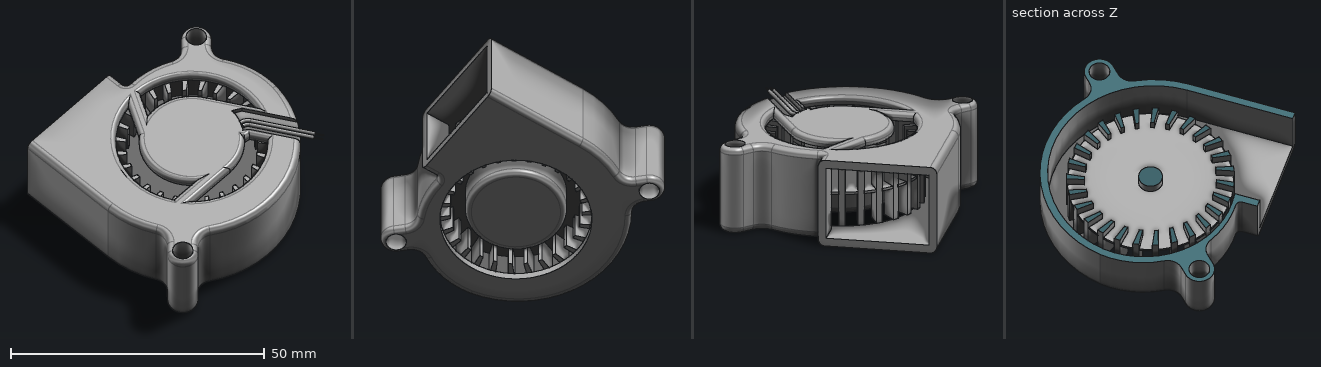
import cadquery as cq
import math


height = 17.99
wall = 1.68
edge_fillet = 1.35

outlet_x = -22.3
duct_bottom_y = -23.6
duct_top_y = 0.25
duct_wall = 1.6
scroll_start_x = -0.3
scroll_radius = 22.49
throat_radius = 19.05
cavity_throat_radius = 18.05
scroll_joint_angle = 80.3
tongue_x = -18.1
tongue_fillet = 0.95
cavity_tongue_x = -17.0

lug_centers = [(-16.15, 18.17), (17.52, -20.9)]
lug_angles = [-45.0, 135.0]
lug_radius = 3.05
lug_hole_radius = 2.0
lug_length = 8.0
lug_root = 4.3
lug_fillet = 3.0

inlet_radius = 15.0
inlet_fillet = 1.0
hub_radius = 10.4
spoke_width = 2.95
spokes = [(150.0, 8.2), (270.0, 8.97)]
motor_boss_radius = 4.7
motor_boss_bottom = 11.0

wire_angle = 30.0
bridge_near = 3.4
bridge_far = hub_radius
gusset_outline = [(10.9, bridge_near), (10.15, 2.5), (6.0, 2.5), (6.0, bridge_near)]
slot_near = 4.6
slot_far = 9.2
slot_floor = 17.0
slot_end = 30.0
slot_outline = [
    (slot_end, slot_near),
    (10.5, slot_near),
    (8.4, 3.6),
    (4.3, 7.05),
    (7.9, slot_far),
    (slot_end, slot_far),
]
slot_hub_radius = 10.25

blade_count = 27
blade_inner_radius = 13.0
blade_outer_radius = 16.6
blade_inner_width = 0.75
blade_outer_width = 1.3
blade_lean = -1.8
first_blade_angle = 86.7
blade_bottom = 2.25
blade_top = 15.8
web_thickness = 0.5
web_top = 9.25
web_radius = 16.4
rotor_hub_radius = 10.0
rotor_hub_bottom = 2.4
rotor_hub_fillet = 1.2
shaft_boss_radius = 2.4

wire_radius = 0.41
wire_z = slot_floor + wire_radius
wire_offsets = [7.05, 6.12]
wire_bend_start = 10.25
wire_end = 23.35
wire_bend_center_offset = 4.65
wire_bend_angle = 60.0
conductor_radius = 0.14
conductor_end = 25.1

reach = 40.0
margin = 0.1
corner_search = 1.0


def polar(radius, angle):
    return (radius * math.cos(math.radians(angle)), radius * math.sin(math.radians(angle)))


def along(angle, distance, offset):
    """Point `distance` along a direction and `offset` to its left."""
    ux, uy = polar(1.0, angle)
    return (distance * ux - offset * uy, distance * uy + offset * ux)


def prism(points, bottom, top):
    return cq.Workplane("XY").workplane(offset=bottom).polyline(points).close().extrude(top - bottom)


def wire_prism(outline, bottom, top):
    """Prism from points laid out along and across the wire direction."""
    return prism([along(wire_angle, distance, offset) for distance, offset in outline], bottom, top)


def cylinder(radius, bottom, top):
    return cq.Workplane("XY").workplane(offset=bottom).circle(radius).extrude(top - bottom)


def strip(angle, near, far, bottom, top, length=reach):
    """Straight bar running outwards between two distances left of the fan axis."""
    points = [
        along(angle, 0, near),
        along(angle, length, near),
        along(angle, length, far),
        along(angle, 0, far),
    ]
    return prism(points, bottom, top)


def scroll(radius, end_radius, start_y, end, bottom, top):
    """Duct and scroll: a big arc from the straight duct wall, then a tighter arc to `end`."""
    center_y = duct_bottom_y + scroll_radius
    joint_x, joint_y = polar(radius, scroll_joint_angle)
    return (
        cq.Workplane("XY")
        .workplane(offset=bottom)
        .moveTo(outlet_x, start_y)
        .lineTo(scroll_start_x, start_y)
        .threePointArc((scroll_start_x + radius, center_y), (scroll_start_x + joint_x, center_y + joint_y))
        .radiusArc(end, -end_radius)
        .lineTo(outlet_x, end[1])
        .close()
        .extrude(top - bottom)
    )


def edges_near(x, y, size):
    return cq.selectors.BoxSelector((x - size, y - size, 0), (x + size, y + size, height))


def housing_outside():
    """Solid outer form: duct, scroll and lugs, with blended corners and rounded edges."""
    body = scroll(scroll_radius, throat_radius, duct_bottom_y, (tongue_x, duct_top_y), 0, height)
    for (x, y), angle in zip(lug_centers, lug_angles):
        lug = cylinder(lug_radius, 0, height)
        tab = strip(angle, -lug_radius, lug_radius, 0, height, lug_length)
        body = body.union(lug.union(tab).translate((x, y, 0)))
    for (x, y), angle in zip(lug_centers, lug_angles):
        for side in (-1, 1):
            dx, dy = along(angle, lug_root, side * lug_radius)
            body = body.edges("|Z").edges(edges_near(x + dx, y + dy, corner_search)).fillet(lug_fillet)
    body = body.edges("|Z").edges(edges_near(tongue_x, duct_top_y, corner_search)).fillet(tongue_fillet)
    beyond_outlet = cq.selectors.BoxSelector((outlet_x + margin, -reach, -reach), (reach, reach, reach))
    return body.faces("|Z").edges(beyond_outlet).fillet(edge_fillet)


def spoke(angle, offset):
    return strip(angle, offset - spoke_width / 2, offset + spoke_width / 2, height - wall, height)


def inlet_openings():
    """Openings in the lid between hub plate, spokes and wire bridge, before the lid edge is rounded."""
    openings = cylinder(inlet_radius, height - wall, height).cut(cylinder(hub_radius, height - wall, height))
    for angle, offset in spokes:
        openings = openings.cut(spoke(angle, offset))
    openings = openings.cut(strip(wire_angle, bridge_near, bridge_far, height - wall, height))
    return openings.cut(wire_prism(gusset_outline, height - wall, height))


def make_housing():
    body = housing_outside()
    cavity_radius = scroll_radius - duct_wall
    cavity_start_y = duct_bottom_y + duct_wall
    cavity_end = (cavity_tongue_x, duct_top_y - duct_wall)
    cavity = scroll(cavity_radius, cavity_throat_radius, cavity_start_y, cavity_end, wall, height - wall)
    body = body.cut(cavity)
    for x, y in lug_centers:
        body = body.cut(cylinder(lug_hole_radius, 0, height).translate((x, y, 0)))
    body = body.cut(cylinder(inlet_radius, 0, wall))
    body = body.cut(inlet_openings())
    around = inlet_radius + margin
    at_inlet = cq.selectors.BoxSelector((-around, -around, 0), (around, around, reach))
    body = body.faces(">Z").edges(at_inlet).fillet(inlet_fillet)
    slot = wire_prism(slot_outline, slot_floor, height)
    body = body.cut(slot.cut(cylinder(slot_hub_radius, 0, height)))
    return body.union(cylinder(motor_boss_radius, motor_boss_bottom, height - wall))


def make_impeller():
    half_section = [
        (0, rotor_hub_bottom),
        (rotor_hub_radius, rotor_hub_bottom),
        (rotor_hub_radius, web_top - web_thickness),
        (web_radius, web_top - web_thickness),
        (web_radius, web_top),
        (shaft_boss_radius, web_top),
        (shaft_boss_radius, motor_boss_bottom),
        (0, motor_boss_bottom),
    ]
    body = cq.Workplane("XZ").polyline(half_section).close().revolve(360, (0, 0), (0, 1))
    body = body.faces("<Z").edges().fillet(rotor_hub_fillet)
    tip_x, tip_y = polar(blade_outer_radius, blade_lean)
    profile = [
        (blade_inner_radius, -blade_inner_width / 2),
        (tip_x, tip_y - blade_outer_width / 2),
        (tip_x, tip_y + blade_outer_width / 2),
        (blade_inner_radius, blade_inner_width / 2),
    ]
    blade = prism(profile, blade_bottom, blade_top)
    for i in range(blade_count):
        angle = first_blade_angle + i * 360.0 / blade_count
        body = body.union(blade.rotate((0, 0, 0), (0, 0, 1), angle))
    return body


def make_wire(offset):
    """Insulated wire lying on the slot floor, bent towards the hub plate at its inner end."""
    bend_radius = offset - wire_bend_center_offset

    def bend_point(turn):
        across, back = polar(bend_radius, turn)
        return along(wire_angle, wire_bend_start - back, wire_bend_center_offset + across)

    path = (
        cq.Workplane("XY")
        .workplane(offset=wire_z)
        .moveTo(*along(wire_angle, wire_end, offset))
        .lineTo(*bend_point(0))
        .threePointArc(bend_point(wire_bend_angle / 2), bend_point(wire_bend_angle))
    )
    wire = wire_section(wire_end, offset, wire_radius).sweep(path)
    return wire.cut(cylinder(slot_hub_radius, 0, height))


def wire_section(distance, offset, radius):
    x, y = along(wire_angle, distance, offset)
    plane = cq.Plane((x, y, wire_z), xDir=(0, 0, 1), normal=(*polar(1, wire_angle), 0))
    return cq.Workplane(plane).circle(radius)


def make_conductor(offset):
    """Bare wire end standing out of the insulation."""
    return wire_section(wire_end, offset, conductor_radius).extrude(conductor_end - wire_end)


housing = make_housing()
impeller = make_impeller()
wires = [make_wire(offset) for offset in wire_offsets]
conductors = [make_conductor(offset) for offset in wire_offsets]

result = cq.Compound.makeCompound(
    [housing.val(), impeller.val(), *[w.val() for w in wires], *[c.val() for c in conductors]]
)